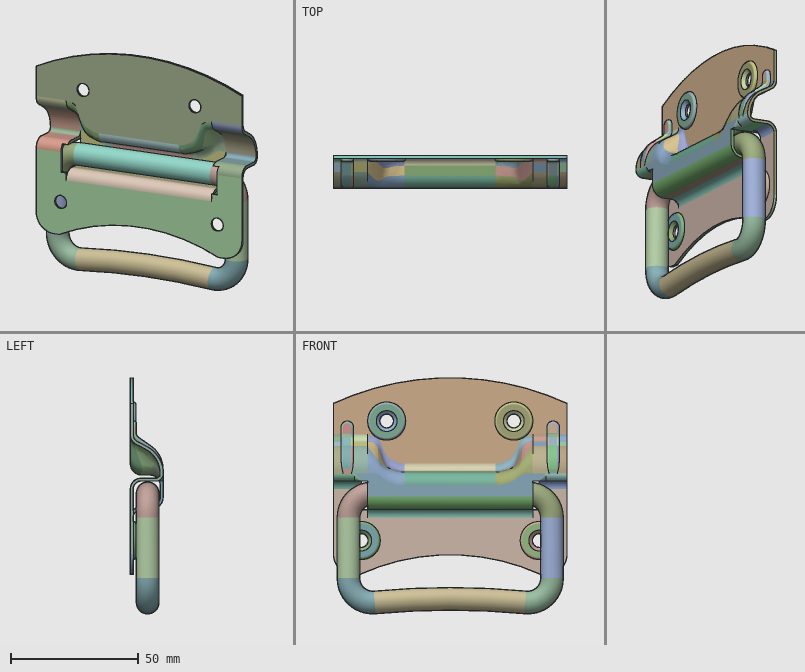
import cadquery as cq
import math


width = 92.0
half_width = width / 2
sheet = 1.2
plate_top_z = 45.5
shoulder_z = 35.4
plate_bottom_z = -31.9
bottom_arch_z = -24.2
bottom_arch_half_width = 35.5
corner_radius = 8.0
upper_hole_x = 25.0
upper_hole_z = 28.45
hole_row_spacing = 47.0
lower_hole_x = 35.0
lower_hole_z = upper_hole_z - hole_row_spacing
boss_radius = 7.5
boss_height = 1.1
boss_round = 1.0
hole_radius = 2.65
countersink_radius = 4.1

front_depth = 13.0
strip_top_z = 24.0
bend_radius = 3.1
shelf_bottom_z = 4.8
curl_radius = 3.0
curl_taper_length = 2.7
curl_tip_radius = 0.1
end_step_top_z = 23.1
end_step_bottom_z = shelf_bottom_z + curl_radius
end_crest_radius = 12.0
middle_step_top_z = 11.65
middle_step_bottom_z = 3.15
middle_crest_radius = 5.2
middle_half_width = 17.9
dip_outer_share = 0.4
dip_sections = 7
dip_foot_radius = 14.7
dip_bend_fill = 0.95
tongue_half_width = 32.5
tongue_top_z = 2.5
tongue_bend_radius = 5.0
tongue_bottom_z = -6.4
tongue_foot_z = tongue_bottom_z - bend_radius
slot_width = 2.4
slot_outer_x = tongue_half_width + slot_width

rib_x = 40.5
rib_width = 5.0
rib_rise = 1.25
rib_top_z = upper_hole_z
rib_step_top_z = 23.7
rib_step_bottom_z = 9.3
rib_bend_radius = 2.0
rib_crest_radius = 11.5
rib_round = 0.9
rib_root_inset = 1.0

overall_height = 92.93
bar_radius = 4.5
bar_clearance = 0.05
handle_depth = sheet + boss_height + bar_radius + bar_clearance
arm_x = 40.0
handle_bend_radius = 9.5
handle_bottom_z = plate_top_z - overall_height
lower_bend_z = handle_bottom_z + bar_radius + handle_bend_radius
grip_end_angle = math.radians(5.4)


def step_moves(rise, drop, concave_radius, convex_radius):
    """Bend, straight and bend back that carry a strip's front face forward by rise and down by drop."""
    radii = concave_radius + convex_radius
    straight = math.sqrt((rise - radii) ** 2 + drop ** 2 - radii ** 2)
    turn = math.atan2(rise - radii, drop) + math.atan2(radii, straight)
    return [("bend", concave_radius, turn), ("line", straight), ("bend", convex_radius, -turn)]


def face_edges(x, start, moves, inset):
    """Edges of a face lying inset behind the front face of a strip that starts downward at start.

    A positive turn bends the strip forward; radii are those of the front face.
    """
    depth, z = start
    heading = -math.pi / 2

    def point(d, h, angle):
        return cq.Vector(x, -(d + inset * math.sin(angle)), h - inset * math.cos(angle))

    edges = []
    for move in moves:
        begin = point(depth, z, heading)
        if move[0] == "line":
            depth += move[1] * math.cos(heading)
            z += move[1] * math.sin(heading)
            edges.append(cq.Edge.makeLine(begin, point(depth, z, heading)))
            continue
        radius, turn = move[1:]
        side = math.copysign(radius, turn)
        center_depth = depth - side * math.sin(heading)
        center_z = z + side * math.cos(heading)
        stops = []
        for angle in (heading + turn / 2, heading + turn):
            depth = center_depth + side * math.sin(angle)
            z = center_z - side * math.cos(angle)
            stops.append(point(depth, z, angle))
        heading += turn
        edges.append(cq.Edge.makeThreePointArc(begin, *stops))
    return edges


def closed_wire(face_a, face_b):
    """Wire around the region between two faces that run the same way."""
    top = cq.Edge.makeLine(face_b[0].startPoint(), face_a[0].startPoint())
    bottom = cq.Edge.makeLine(face_a[-1].endPoint(), face_b[-1].endPoint())
    return cq.Wire.assembleEdges([top] + face_a + [bottom] + face_b[::-1])


def strip_wire(x, moves):
    """Cross-section, at x, of a sheet strip that starts at the wall plane."""
    start = (sheet, strip_top_z)
    return closed_wire(face_edges(x, start, moves, 0), face_edges(x, start, moves, sheet))


def extrude_x(wire, length):
    return cq.Workplane(cq.Solid.extrudeLinear(wire, [], cq.Vector(length, 0, 0)))


def box_between(x0, x1, depth0, depth1, z0, z1):
    size = (x1 - x0, depth1 - depth0, z1 - z0)
    return cq.Workplane("XY").box(*size, centered=False).translate((x0, -depth1, z0))


def both_sides(body):
    """Body together with its mirror image about X = 0."""
    return body.union(body.mirror("YZ"))


def strip_to_front(step_top_z, step_bottom_z, crest_radius, end_z, inside_radius=bend_radius):
    """Moves from the wall plane, over the step, down the front plane to end_z."""
    step = step_moves(front_depth - sheet, step_top_z - step_bottom_z, inside_radius, crest_radius)
    moves = [("line", strip_top_z - step_top_z)] + step
    if step_bottom_z > end_z:
        moves.append(("line", step_bottom_z - end_z))
    return moves


def return_moves(turn_radius, foot_z):
    """Moves from the front plane back under to the wall plane, where the bend ends at foot_z.

    A flat run then continues down to the foot of the tongue.
    """
    moves = [
        ("bend", turn_radius, -math.pi / 2),
        ("line", front_depth - turn_radius - sheet - bend_radius),
        ("bend", bend_radius, math.pi / 2),
    ]
    if foot_z > tongue_foot_z:
        moves.append(("line", foot_z - tongue_foot_z))
    return moves


def upper_plate():
    return (
        cq.Workplane("XZ")
        .moveTo(-half_width, strip_top_z)
        .lineTo(-half_width, shoulder_z)
        .threePointArc((0, plate_top_z), (half_width, shoulder_z))
        .lineTo(half_width, strip_top_z)
        .close()
        .extrude(sheet)
    )


def lower_plate():
    arch_x = bottom_arch_half_width
    corner_x = half_width - corner_radius
    corner_z = plate_bottom_z + corner_radius
    return (
        cq.Workplane("XZ")
        .moveTo(-half_width, tongue_foot_z)
        .lineTo(half_width, tongue_foot_z)
        .lineTo(half_width, corner_z)
        .radiusArc((corner_x, plate_bottom_z), corner_radius)
        .lineTo(arch_x, plate_bottom_z)
        .threePointArc((0, bottom_arch_z), (-arch_x, plate_bottom_z))
        .lineTo(-corner_x, plate_bottom_z)
        .radiusArc((-half_width, corner_z), corner_radius)
        .close()
        .extrude(sheet)
    )


def square_corner_wire(x, size):
    """Region at x between the shelf's square front corner and a round of the given radius."""
    corner = cq.Vector(x, -front_depth, shelf_bottom_z)
    upper = corner + cq.Vector(0, 0, size)
    inner = corner + cq.Vector(0, size, 0)
    bulge = size * (1 - math.sqrt(0.5))
    arc = cq.Edge.makeThreePointArc(upper, corner + cq.Vector(0, bulge, bulge), inner)
    return cq.Wire.assembleEdges(
        [arc, cq.Edge.makeLine(inner, corner), cq.Edge.makeLine(corner, upper)]
    )


def curl_corner():
    """Fill that tapers the left curl's round down to a square corner beside the tongue."""
    start_x = -slot_outer_x - curl_taper_length
    fill = extrude_x(square_corner_wire(start_x, curl_radius), curl_taper_length + slot_width)
    shrinking_corner = [
        square_corner_wire(start_x, curl_radius),
        square_corner_wire(-slot_outer_x, curl_tip_radius),
    ]
    return fill.cut(cq.Workplane(cq.Solid.makeLoft(shrinking_corner, True)))


def end_strip():
    """Left end: step, curl and shelf over the handle, cut by the slot beside the tongue."""
    moves = strip_to_front(end_step_top_z, end_step_bottom_z, end_crest_radius, end_step_bottom_z)
    moves += return_moves(curl_radius, shelf_bottom_z - bend_radius)
    strip = extrude_x(strip_wire(-half_width, moves), half_width - tongue_half_width)
    slot = box_between(
        -slot_outer_x, -tongue_half_width, 0, front_depth, tongue_bottom_z, shelf_bottom_z
    )
    return strip.union(curl_corner()).cut(slot)


def dip_line(x):
    """Height and steepness (1 / cosine of slope) at x of the line where the step leaves the wall plane.

    The line is an S of two tangent arcs that lowers the step from the ends to the middle.
    """
    run = tongue_half_width - middle_half_width
    drop = end_step_top_z - middle_step_top_z
    radii = (run ** 2 + drop ** 2) / (2 * drop)
    outer_radius = dip_outer_share * radii
    inner_radius = radii - outer_radius
    from_outside = tongue_half_width - x
    from_middle = x - middle_half_width
    if from_outside < dip_outer_share * run:
        height = math.sqrt(outer_radius ** 2 - from_outside ** 2)
        return end_step_top_z - outer_radius + height, outer_radius / height
    height = math.sqrt(inner_radius ** 2 - from_middle ** 2)
    return middle_step_top_z + inner_radius - height, inner_radius / height


def dip_section(inward):
    """Cross-section of the dip's left wall, inward from 0 at the tongue's edge to 1 at the middle step."""
    x = tongue_half_width + (middle_half_width - tongue_half_width) * inward
    top_z, steepness = dip_line(x)
    foot_arc = math.sqrt(dip_foot_radius ** 2 - (x - middle_half_width) ** 2)
    bottom_z = min(end_step_bottom_z, middle_step_bottom_z + dip_foot_radius - foot_arc)
    share = min(inward / dip_outer_share, 1)
    crest_radius = end_crest_radius + (middle_crest_radius - end_crest_radius) * share
    rise = front_depth - sheet
    room = dip_bend_fill * (rise ** 2 + (top_z - bottom_z) ** 2) / (2 * rise)
    inside_radius = min(bend_radius * steepness, room - crest_radius)
    return strip_wire(-x, strip_to_front(top_z, bottom_z, crest_radius, tongue_top_z, inside_radius))


def dip_wall():
    """Left wall of the dip: the step turns from its end shape into its middle shape."""
    wires = [dip_section(index / (dip_sections - 1)) for index in range(dip_sections)]
    return cq.Workplane(cq.Solid.makeLoft(wires))


def middle_step():
    moves = strip_to_front(
        middle_step_top_z, middle_step_bottom_z, middle_crest_radius, tongue_top_z
    )
    return extrude_x(strip_wire(-middle_half_width, moves), 2 * middle_half_width)


def tongue():
    """Front flat that wraps under the handle's hinge bar and returns to the wall plane."""
    start = (front_depth, tongue_top_z)
    moves = [("line", tongue_top_z - tongue_bottom_z - tongue_bend_radius)]
    moves += return_moves(tongue_bend_radius, tongue_foot_z)
    faces = [face_edges(-tongue_half_width, start, moves, inset) for inset in (0, sheet)]
    return extrude_x(closed_wire(*faces), 2 * tongue_half_width)


def rib():
    """Left stiffening rib: follows the end step and runs out flush at the front plane."""
    top_depth = sheet + rib_rise
    left_x = -rib_x - rib_width / 2
    rib_drop = rib_step_top_z - rib_step_bottom_z
    plate_drop = end_step_top_z - end_step_bottom_z
    rib_moves = [
        ("line", rib_top_z - rib_step_top_z),
        *step_moves(front_depth - top_depth, rib_drop, rib_bend_radius, rib_crest_radius),
        ("line", rib_step_bottom_z - end_step_bottom_z),
    ]
    plate_moves = [
        ("line", rib_top_z - end_step_top_z),
        *step_moves(front_depth - sheet, plate_drop, bend_radius, end_crest_radius),
    ]
    crest = face_edges(left_x, (top_depth, rib_top_z), rib_moves, 0)
    root = face_edges(left_x, (sheet, rib_top_z), plate_moves, rib_root_inset)
    body = extrude_x(closed_wire(crest, root), rib_width)
    round_z = rib_top_z - rib_width / 2
    outline = (
        cq.Workplane("XZ")
        .moveTo(left_x, end_step_bottom_z)
        .lineTo(left_x, round_z)
        .threePointArc((-rib_x, rib_top_z), (left_x + rib_width, round_z))
        .lineTo(left_x + rib_width, end_step_bottom_z)
        .close()
        .extrude(front_depth)
    )
    body = body.intersect(outline)
    return body.faces("<Y").edges("|Z").edges("<X").fillet(rib_round)


def screw_boss(x, z):
    ring = cq.Workplane("XZ", origin=(x, 0, z)).circle(boss_radius).extrude(sheet + boss_height)
    return ring.faces("<Y").edges().fillet(boss_round)


def screw_hole(x, z):
    """Through hole with a 90 degree countersink at the front of its boss."""
    face_depth = sheet + boss_height
    sink = countersink_radius - hole_radius
    outline = [
        (0, 0),
        (hole_radius, 0),
        (hole_radius, face_depth - sink),
        (countersink_radius, face_depth),
        (0, face_depth),
    ]
    profile = cq.Workplane("XY").polyline([(r, -d) for r, d in outline]).close()
    return profile.revolve(360, (0, 0), (0, 1)).translate((x, 0, z))


def make_plate():
    plate = upper_plate().union(lower_plate()).union(middle_step()).union(tongue())
    for side_part in (end_strip(), dip_wall(), rib()):
        plate = plate.union(both_sides(side_part))
    hole_places = [
        (side * x, z)
        for side in (-1, 1)
        for x, z in ((upper_hole_x, upper_hole_z), (lower_hole_x, lower_hole_z))
    ]
    for place in hole_places:
        plate = plate.union(screw_boss(*place)).cut(screw_hole(*place))
    return plate


def make_handle():
    """Round bar swept along a closed loop: hinge bar, arms and an upward-bowed grip."""
    bend_x = arm_x - handle_bend_radius
    grip_x = bend_x - handle_bend_radius * math.sin(grip_end_angle)
    grip_z = lower_bend_z - handle_bend_radius * math.cos(grip_end_angle)
    path = (
        cq.Workplane("XZ", origin=(0, -handle_depth, 0))
        .moveTo(0, 0)
        .lineTo(bend_x, 0)
        .tangentArcPoint((arm_x, -handle_bend_radius), relative=False)
        .lineTo(arm_x, lower_bend_z)
        .tangentArcPoint((grip_x, grip_z), relative=False)
        .tangentArcPoint((-grip_x, grip_z), relative=False)
        .tangentArcPoint((-arm_x, lower_bend_z), relative=False)
        .lineTo(-arm_x, -handle_bend_radius)
        .tangentArcPoint((-bend_x, 0), relative=False)
        .close()
    )
    section = cq.Workplane("YZ", origin=(0, -handle_depth, 0)).circle(bar_radius)
    return section.sweep(path)


plate = make_plate()
handle = make_handle()
result = cq.Compound.makeCompound([plate.val(), handle.val()])